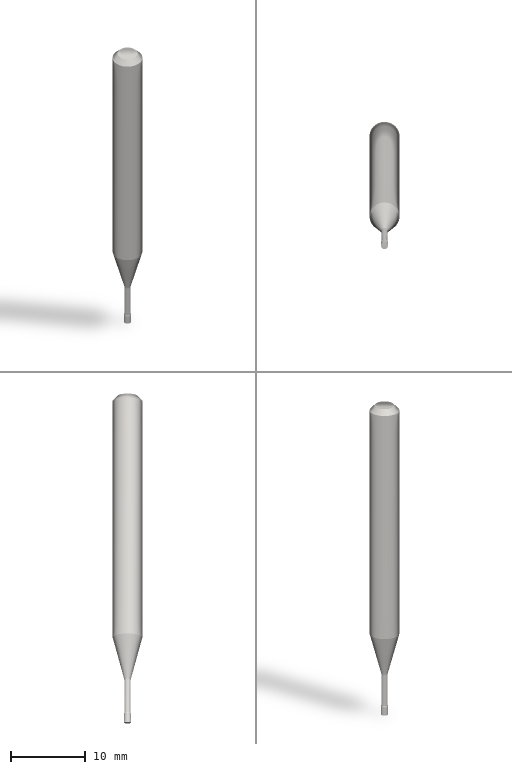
import cadquery as cq
import math

TOTAL_LENGTH = 45.0
SHANK_DIAMETER = 4.0
TOP_CHAMFER_WIDTH = 0.68
TOP_CHAMFER_HEIGHT = 0.7

HEAD_DIAMETER = 0.95
HEAD_LENGTH = 1.2

NECK_DIAMETER = 0.85
NECK_START_HEIGHT = 1.35
TAPER_START_HEIGHT = 5.95
TAPER_END_HEIGHT = 11.8
BLEND_RADIUS = 1.0

shank_radius = SHANK_DIAMETER / 2
head_radius = HEAD_DIAMETER / 2
neck_radius = NECK_DIAMETER / 2

taper_angle = math.atan2(shank_radius - neck_radius, TAPER_END_HEIGHT - TAPER_START_HEIGHT)
blend_start_height = TAPER_START_HEIGHT - BLEND_RADIUS * math.tan(taper_angle / 2)


def blend_point(angle):
    """Profile point on the blend where its tangent leans out by the given angle."""
    return (
        neck_radius + BLEND_RADIUS * (1 - math.cos(angle)),
        blend_start_height + BLEND_RADIUS * math.sin(angle),
    )


def make_cutting_head():
    """Plain cylindrical cutting head standing on Z = 0."""
    return cq.Workplane("XY").circle(head_radius).extrude(HEAD_LENGTH)


def make_shank():
    """Turned shank with a relieved neck, a blended long taper and a chamfered top."""
    profile = (
        cq.Workplane("XZ")
        .moveTo(0, HEAD_LENGTH)
        .lineTo(head_radius, HEAD_LENGTH)
        .lineTo(neck_radius, NECK_START_HEIGHT)
        .lineTo(neck_radius, blend_start_height)
        .threePointArc(blend_point(taper_angle / 2), blend_point(taper_angle))
        .lineTo(shank_radius, TAPER_END_HEIGHT)
        .lineTo(shank_radius, TOTAL_LENGTH - TOP_CHAMFER_HEIGHT)
        .lineTo(shank_radius - TOP_CHAMFER_WIDTH, TOTAL_LENGTH)
        .lineTo(0, TOTAL_LENGTH)
        .close()
    )
    return profile.revolve(360, (0, 0, 0), (0, 1, 0))


cutting_head = make_cutting_head()
shank = make_shank()

result = cq.Compound.makeCompound([cutting_head.val(), shank.val()])